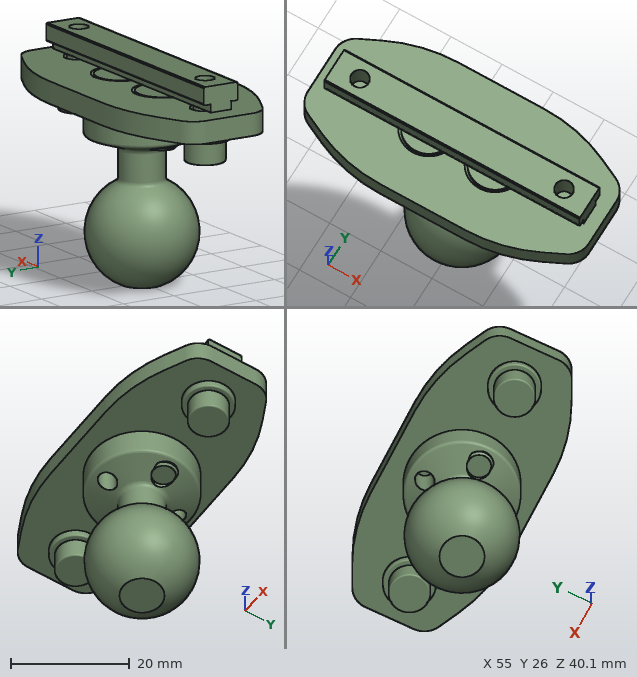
import cadquery as cq
import math


plate_length = 55.0
plate_width = 26.0
plate_thickness = 3.95
plate_end_flat = 14.1
plate_side_flat = 30.6
plate_end_radius = 4.0
plate_side_radius = 30.0

base_radius = 9.9
base_height = 5.0
base_rim_fillet = 0.6
neck_radius = 4.05
neck_top_depth = 7.0
neck_top_fillet = 0.9
neck_bottom_fillet = 0.9
ball_radius = 9.75
ball_center_depth = 22.05
ball_flat_depth = 31.0

fixing_offset = 6.5
fixing_radius = 2.5
fixing_tip_depth = 6.05
fixing_tip_chamfer = 0.45
fixing_tap_radius = 2.1
fixing_head_radius = 4.7
head_gap = 0.5

base_hole_offset = 7.0
base_hole_diameter = 3.3

bar_gap = 0.5
bar_length = 49.95
bar_height = 4.6
bar_stem_height = 1.45
bar_stem_width = 4.05
bar_head_width = 6.75
bar_edge_chamfer = 0.2
bar_hole_diameter = 3.3

screw_offset = 19.95
shank_radius = 2.05
shank_hole_radius = 2.6
flange_radius = 4.5
flange_thickness = 1.3
screw_head_radius = 3.5
screw_depth = 5.3
screw_edge_fillet = 0.3

bar_bottom = plate_thickness + bar_gap

fixing_places = [(-fixing_offset, 0), (fixing_offset, 0)]
screw_places = [(-screw_offset, 0), (screw_offset, 0)]
base_hole_places = [(0, -base_hole_offset), (0, base_hole_offset)]


def make_plate():
    half_length = plate_length / 2
    half_width = plate_width / 2
    half_end = plate_end_flat / 2
    half_side = plate_side_flat / 2
    outline = [
        (half_length, -half_end),
        (half_length, half_end),
        (half_side, half_width),
        (-half_side, half_width),
        (-half_length, half_end),
        (-half_length, -half_end),
        (-half_side, -half_width),
        (half_side, -half_width),
    ]
    plate = cq.Workplane("XY").polyline(outline).close().extrude(plate_thickness)
    plate = plate.edges("|Z and (not <X) and (not >X)").fillet(plate_side_radius)
    return plate.edges("|Z and (<X or >X)").fillet(plate_end_radius)


def fillet_rim(body, radius, depth, fillet):
    """Round the circular edge of the given radius, centered on Z at the given depth."""
    margin = 0.05
    rim = cq.selectors.BoxSelector(
        (-radius - margin, -radius - margin, -depth - margin),
        (radius + margin, radius + margin, -depth + margin),
        boundingbox=True,
    )
    return body.edges(rim).fillet(fillet)


def make_ball_post():
    """Base, cone, neck and ball, turned about Z as one profile."""
    ball_top_depth = ball_center_depth - math.sqrt(ball_radius**2 - neck_radius**2)
    ball_flat_radius = math.sqrt(ball_radius**2 - (ball_flat_depth - ball_center_depth) ** 2)
    post = (
        cq.Workplane("XZ")
        .lineTo(base_radius, 0)
        .lineTo(base_radius, -base_height)
        .lineTo(neck_radius, -neck_top_depth)
        .lineTo(neck_radius, -ball_top_depth)
        .threePointArc((ball_radius, -ball_center_depth), (ball_flat_radius, -ball_flat_depth))
        .lineTo(0, -ball_flat_depth)
        .close()
        .revolve(360, (0, 0, 0), (0, 1, 0))
    )
    post = fillet_rim(post, base_radius, base_height, base_rim_fillet)
    post = fillet_rim(post, neck_radius, neck_top_depth, neck_top_fillet)
    return fillet_rim(post, neck_radius, ball_top_depth, neck_bottom_fillet)


def add_fixings(mount):
    """Screw tips standing in tapped holes, and the grooves left around their flush heads."""
    tips = (
        cq.Workplane("XY")
        .pushPoints(fixing_places)
        .circle(fixing_radius)
        .extrude(-fixing_tip_depth)
        .faces("<Z")
        .chamfer(fixing_tip_chamfer)
    )
    tap_holes = (
        cq.Workplane("XY", origin=(0, 0, -fixing_tip_depth))
        .pushPoints(fixing_places)
        .circle(fixing_tap_radius)
        .extrude(fixing_tip_depth - neck_top_depth)
    )
    plate_top = cq.Workplane("XY", origin=(0, 0, plate_thickness)).pushPoints(fixing_places)
    countersinks = plate_top.circle(fixing_head_radius + head_gap).extrude(-head_gap, taper=45)
    heads = plate_top.circle(fixing_head_radius).extrude(-head_gap)
    head_grooves = countersinks.cut(heads)
    return mount.union(tips).cut(tap_holes).cut(head_grooves)


def make_mount():
    """Plate and ball post in one piece."""
    mount = add_fixings(make_plate().union(make_ball_post()))
    base_holes = (
        cq.Workplane("XY")
        .pushPoints(base_hole_places)
        .circle(base_hole_diameter / 2)
        .extrude(-neck_top_depth)
    )
    shank_holes = (
        cq.Workplane("XY")
        .pushPoints(screw_places)
        .circle(shank_hole_radius)
        .extrude(plate_thickness)
    )
    return mount.cut(base_holes).cut(shank_holes)


def make_bar():
    stem = cq.Workplane("XY", origin=(0, 0, bar_bottom)).box(
        bar_length, bar_stem_width, bar_stem_height, centered=(True, True, False)
    )
    head = (
        cq.Workplane("XY", origin=(0, 0, bar_bottom + bar_stem_height))
        .box(bar_length, bar_head_width, bar_height - bar_stem_height, centered=(True, True, False))
        .edges("|X")
        .chamfer(bar_edge_chamfer)
    )
    holes = (
        cq.Workplane("XY", origin=(0, 0, bar_bottom))
        .pushPoints(screw_places)
        .circle(bar_hole_diameter / 2)
        .extrude(bar_height)
    )
    return stem.union(head).cut(holes)


def make_screw(place):
    """Clamp screw: its shank passes freely through the plate and ends against the bar."""
    head = (
        cq.Workplane("XY")
        .circle(screw_head_radius)
        .extrude(-screw_depth)
        .faces("<Z")
        .edges()
        .fillet(screw_edge_fillet)
    )
    flange = (
        cq.Workplane("XY")
        .circle(flange_radius)
        .extrude(-flange_thickness)
        .faces("<Z")
        .edges()
        .fillet(screw_edge_fillet)
    )
    shank = cq.Workplane("XY").circle(shank_radius).extrude(bar_bottom)
    return flange.union(head).union(shank).translate((*place, 0))


mount = make_mount()
bar = make_bar()
screws = [make_screw(place) for place in screw_places]

result = cq.Compound.makeCompound([mount.val(), bar.val(), *[screw.val() for screw in screws]])